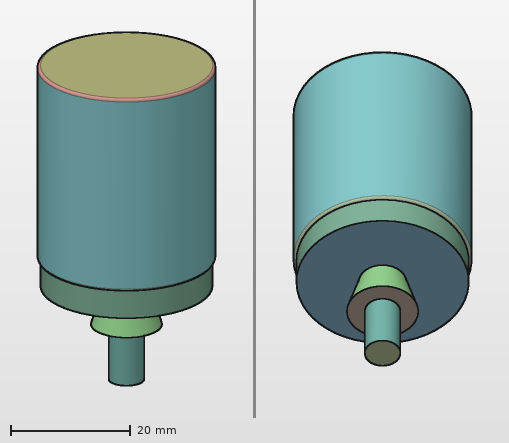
import cadquery as cq

total_height = 57.0
body_diameter = 30.0
body_height = 35.0
edge_radius = 0.5
collar_height = 5.0
cone_height = 7.0
cone_top_diameter = 8.0
cone_bottom_diameter = 11.95
pin_diameter = 6.0

collar_diameter = body_diameter - 2 * edge_radius

body_base = total_height - body_height
collar_base = body_base - collar_height
cone_base = collar_base - cone_height


def cylinder(diameter, base, height):
    """Upright cylinder on the Z axis."""
    return cq.Workplane("XY").workplane(offset=base).circle(diameter / 2).extrude(height)


body = cylinder(body_diameter, body_base, body_height).edges("%CIRCLE").fillet(edge_radius)

collar = cylinder(collar_diameter, collar_base, collar_height)

cone = (
    cq.Workplane("XY")
    .workplane(offset=cone_base)
    .circle(cone_bottom_diameter / 2)
    .workplane(offset=cone_height)
    .circle(cone_top_diameter / 2)
    .loft()
)

pin = cylinder(pin_diameter, 0, cone_base)

result = body.union(collar).union(cone).union(pin)